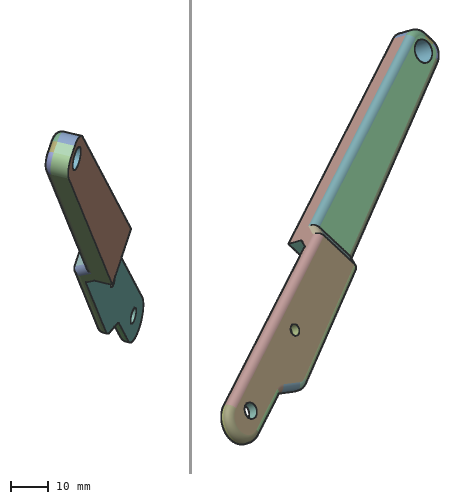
import cadquery as cq
import math

LEAN = 62.4
TAPER = 3.3
ORIGIN_Y = -6.5
ORIGIN_Z = -8.2

TOP_S = 76.2
TOP_WIDTH = 12.0
CORNER_RADIUS = 4.6
NOTCH_S = -41.2
NOTCH_ANGLE = 46.5
NOTCH_RADIUS = 1.6
TAB_WIDTH = 12.7
TAB_S = -61.9

LOWER_THICKNESS = 3.0
UPPER_THICKNESS = 7.0
FRONT_STEP = 4.0
BACK_RAMP_S = -4.7
BACK_RAMP = 2.9
EDGE_FILLET = 2.0
MARGIN = 12.7

HOLES = (
    (70.5, 6.5, 6.3),
    (-59.2, 13.5, 4.5),
    (-29.5, 10.9, 3.2),
)

lean = math.radians(LEAN)
taper_slope = math.tan(math.radians(TAPER))
notch_slope = math.tan(math.radians(NOTCH_ANGLE))
depth = FRONT_STEP + UPPER_THICKNESS

origin = cq.Vector(0, ORIGIN_Y, ORIGIN_Z)
s_axis = cq.Vector(0, -math.cos(lean), math.sin(lean))
t_axis = cq.Vector(0, math.sin(lean), math.cos(lean))
face_plane = cq.Plane(origin=origin, xDir=s_axis, normal=(-1, 0, 0))
profile_plane = cq.Plane(origin=origin, xDir=s_axis, normal=t_axis)


def round_edge_at(body, s, t, radius):
    """Round the edge through the thickness nearest to the point (s, t)."""
    point = face_plane.toWorldCoords((s, t, -depth / 2))
    return body.edges("|X").edges(cq.selectors.NearestToPointSelector(point.toTuple())).fillet(radius)


def make_outline():
    """Tapered arm with a notch and a round tab, at full depth."""
    tab_angle = math.radians(TAPER)
    radius = TAB_WIDTH / 2
    outer_s = TAB_S
    outer_t = TOP_WIDTH + (TOP_S - outer_s) * taper_slope
    inner_s = outer_s - TAB_WIDTH * math.sin(tab_angle)
    inner_t = outer_t - TAB_WIDTH * math.cos(tab_angle)
    tip_s = (outer_s + inner_s) / 2 - radius * math.cos(tab_angle)
    tip_t = (outer_t + inner_t) / 2 + radius * math.sin(tab_angle)

    root_s = (NOTCH_S * notch_slope - inner_t - inner_s * taper_slope) / (notch_slope - taper_slope)
    root_t = (NOTCH_S - root_s) * notch_slope

    body = (
        cq.Workplane(face_plane)
        .moveTo(TOP_S, 0)
        .lineTo(TOP_S, TOP_WIDTH)
        .lineTo(outer_s, outer_t)
        .threePointArc((tip_s, tip_t), (inner_s, inner_t))
        .lineTo(root_s, root_t)
        .lineTo(NOTCH_S, 0)
        .close()
        .extrude(-depth)
    )
    body = round_edge_at(body, root_s, root_t, NOTCH_RADIUS)
    body = round_edge_at(body, NOTCH_S, 0, CORNER_RADIUS)
    body = round_edge_at(body, TOP_S, 0, CORNER_RADIUS)
    return round_edge_at(body, TOP_S, TOP_WIDTH, CORNER_RADIUS)


def make_profile():
    """Stepped side profile, wide enough to cover the whole outline."""
    upper_end = TOP_S + MARGIN
    lower_end = TAB_S - TAB_WIDTH - MARGIN
    back_step_s = BACK_RAMP_S + BACK_RAMP
    points = [
        (lower_end, 0),
        (0, 0),
        (FRONT_STEP, FRONT_STEP),
        (upper_end, FRONT_STEP),
        (upper_end, depth),
        (back_step_s, depth),
        (back_step_s, LOWER_THICKNESS + BACK_RAMP),
        (BACK_RAMP_S, LOWER_THICKNESS),
        (lower_end, LOWER_THICKNESS),
    ]
    half_width = 2 * TOP_WIDTH + MARGIN
    return cq.Workplane(profile_plane).polyline(points).close().extrude(half_width, both=True)


def round_front_rim(body):
    """Round the outer edges of the two front faces and the ramp, but not the bends between them."""
    edges = [
        edge
        for face in body.faces("%Plane").vals()
        if face.normalAt().x < -0.5
        for edge in face.Edges()
    ]
    rim = [edge for edge in edges if sum(edge.isSame(other) for other in edges) == 1]
    return body.newObject(rim).fillet(EDGE_FILLET)


def cut_holes(body):
    """Drill every hole straight through along X."""
    for s, t, diameter in HOLES:
        hole = cq.Workplane(face_plane).center(s, t).circle(diameter / 2).extrude(-depth)
        body = body.cut(hole)
    return body


arm = make_outline().intersect(make_profile())
result = cut_holes(round_front_rim(arm))